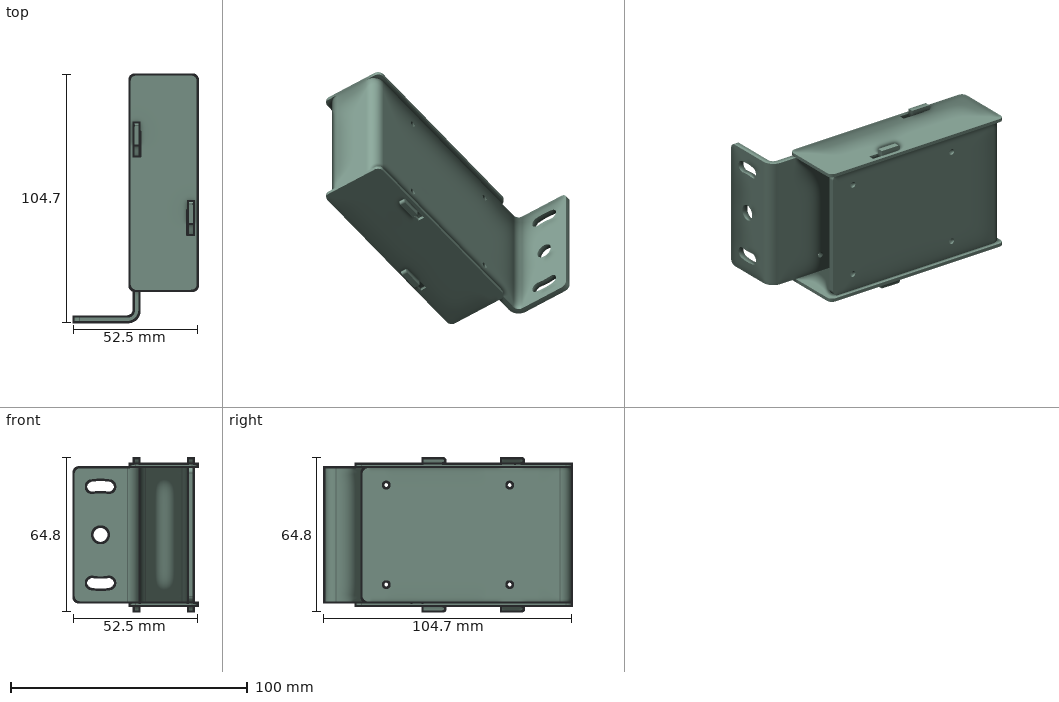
import cadquery as cq
import math

sheet = 2.54
bend_inner = 2.54
bend_outer = bend_inner + sheet
height = 57.15
depth = 104.65
flange_length = 27.94
bracket_width = 25.4
corner_radius = 2.54
far_wall_setback = 2.54

plate_thickness = 1.524
plate_width = 28.9
plate_length = 91.44

hook_length = 9.7
hook_height = 2.286
hook_overhang = 3.85
hook_stagger = 33.15
near_hook_front = 74.6
slot_length = 10.4
slot_width = 2.75

flange_hole_diameter = 6.858
flange_hole_edge = 11.43
arc_slot_radius = 20.64
arc_slot_half_angle = 10
arc_slot_width = 5.08
wall_hole_diameter = 2.6
wall_hole_spacing_y = 52.07
wall_hole_spacing_z = 42.0
wall_hole_front = 26.2

near_inner = flange_length
near_outer = near_inner - sheet
far_outer = near_outer + bracket_width
far_inner = far_outer - sheet
bracket_center = near_outer + bracket_width / 2
plate_front = depth - plate_length
far_wall_front = plate_front + far_wall_setback
slot_rear = near_hook_front + hook_length - hook_overhang
half_height = height / 2


def bent_strip():
    """Flange, near wall, rear wall and far wall as one bent sheet."""
    diag = math.sqrt(0.5)
    inner_mid = bend_inner * diag
    outer_mid = bend_outer * diag
    flange_bend = (near_outer - bend_inner, bend_outer)
    near_bend = (near_outer + bend_outer, depth - bend_outer)
    far_bend = (far_outer - bend_outer, depth - bend_outer)
    profile = (
        cq.Workplane("XY", origin=(0, 0, -half_height))
        .moveTo(0, 0)
        .lineTo(flange_bend[0], 0)
        .threePointArc((flange_bend[0] + outer_mid, flange_bend[1] - outer_mid), (near_inner, bend_outer))
        .lineTo(near_inner, near_bend[1])
        .threePointArc((near_bend[0] - inner_mid, near_bend[1] + inner_mid), (near_bend[0], depth - sheet))
        .lineTo(far_bend[0], depth - sheet)
        .threePointArc((far_bend[0] + inner_mid, far_bend[1] + inner_mid), (far_inner, far_bend[1]))
        .lineTo(far_inner, far_wall_front)
        .lineTo(far_outer, far_wall_front)
        .lineTo(far_outer, far_bend[1])
        .threePointArc((far_bend[0] + outer_mid, far_bend[1] + outer_mid), (far_bend[0], depth))
        .lineTo(near_bend[0], depth)
        .threePointArc((near_bend[0] - outer_mid, near_bend[1] + outer_mid), (near_outer, near_bend[1]))
        .lineTo(near_outer, bend_outer)
        .threePointArc((flange_bend[0] + inner_mid, flange_bend[1] - inner_mid), (flange_bend[0], sheet))
        .lineTo(0, sheet)
        .close()
    )
    strip = profile.extrude(height)
    strip = strip.edges("|Y").edges("<X").fillet(corner_radius)
    far_corners = cq.selectors.BoxSelector(
        (far_inner - sheet, far_wall_front - sheet, -height),
        (far_outer + sheet, far_wall_front + sheet, height),
    )
    return strip.edges("|X").edges(far_corners).fillet(corner_radius)


def arc_slot(side):
    """Cutter for a curved slot about the flange hole; side is +1 (above) or -1 (below)."""
    inner = arc_slot_radius - arc_slot_width / 2
    outer = arc_slot_radius + arc_slot_width / 2
    end = math.radians(arc_slot_half_angle)
    tip_offset = arc_slot_width / 2

    def point(radius, angle, offset=0):
        x = radius * math.sin(angle) + offset * math.cos(angle)
        z = radius * math.cos(angle) - offset * math.sin(angle)
        return (x, side * z)

    return (
        cq.Workplane("XZ", origin=(flange_hole_edge, sheet, 0))
        .moveTo(*point(outer, -end))
        .threePointArc(point(outer, 0), point(outer, end))
        .threePointArc(point(arc_slot_radius, end, tip_offset), point(inner, end))
        .threePointArc(point(inner, 0), point(inner, -end))
        .threePointArc(point(arc_slot_radius, -end, -tip_offset), point(outer, -end))
        .close()
        .extrude(sheet)
    )


def flange_holes():
    """Cutters for the round hole and the two curved slots of the flange."""
    hole = (
        cq.Workplane("XZ", origin=(flange_hole_edge, sheet, 0))
        .circle(flange_hole_diameter / 2)
        .extrude(sheet)
    )
    return hole.union(arc_slot(1)).union(arc_slot(-1))


def wall_holes():
    """Cutters for the four small holes that pass through both walls."""
    hole_center_y = wall_hole_front + wall_hole_spacing_y / 2
    return (
        cq.Workplane("YZ", origin=(near_outer, hole_center_y, 0))
        .rarray(wall_hole_spacing_y, wall_hole_spacing_z, 2, 2)
        .circle(wall_hole_diameter / 2)
        .extrude(bracket_width)
    )


def upper_plate():
    """Upper cover plate with a slot for each wall hook."""
    plate = (
        cq.Workplane("XY", origin=(bracket_center, plate_front + plate_length / 2, half_height))
        .rect(plate_width, plate_length)
        .extrude(plate_thickness)
        .edges("|Z")
        .fillet(corner_radius)
    )
    near_slot_corner = (near_outer, slot_rear - slot_length)
    far_slot_corner = (far_outer - slot_width, slot_rear - hook_stagger - slot_length)
    for x, y in (near_slot_corner, far_slot_corner):
        slot = (
            cq.Workplane("XY", origin=(x, y, half_height))
            .rect(slot_width, slot_length, centered=False)
            .extrude(plate_thickness)
        )
        plate = plate.cut(slot)
    return plate


def upper_hook(x, front):
    """Hook rising from a wall edge through its slot, with a round nose lying over the plate."""
    rear = front + hook_length
    neck_rear = rear - hook_overhang
    nose_radius = hook_height / 2
    plate_top = half_height + plate_thickness
    hook_top = plate_top + hook_height
    return (
        cq.Workplane("YZ", origin=(x, 0, 0))
        .moveTo(front, half_height)
        .lineTo(neck_rear, half_height)
        .lineTo(neck_rear, plate_top)
        .lineTo(rear - nose_radius, plate_top)
        .threePointArc((rear, plate_top + nose_radius), (rear - nose_radius, hook_top))
        .lineTo(front, hook_top)
        .close()
        .extrude(sheet)
    )


result = bent_strip().cut(flange_holes()).cut(wall_holes())
upper_parts = [
    upper_plate(),
    upper_hook(near_outer, near_hook_front),
    upper_hook(far_inner, near_hook_front - hook_stagger),
]
for upper_part in upper_parts:
    result = result.union(upper_part).union(upper_part.mirror("XY"))